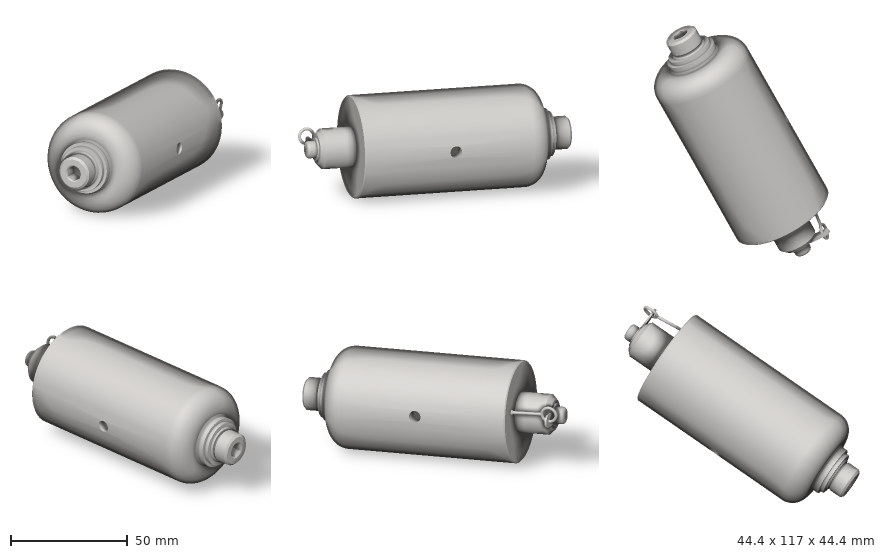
import cadquery as cq
import math

total_length = 117.0

body_radius = 22.2
body_front_y = 13.1
body_rear_y = 96.8
front_round = 7.8
rear_chamfer = 0.5

nipple_radius = 7.1
nipple_back_y = 6.2
nipple_tip_chamfer = 0.9
groove_radius = 6.4
groove_front_y = 6.9
groove_back_y = 7.3
groove_rim_radius = 7.5
flange_radius = 9.7
flange_front_y = 8.0
flange_rim_radius = 8.0
collar_radius = 11.1
collar_front_y = 9.7
collar_back_y = 12.3
collar_foot_radius = 11.9

socket_across_flats = 6.1
socket_depth = 7.0
socket_rim_radius = 3.6
drill_point_angle = 118.0
pilot_radius = 0.8
pilot_depth = 10.5

cap_radius = 8.8
cap_top_y = 112.2
cap_chamfer = 2.1
pin_radius = 3.7
pin_round = 1.4

tab_thickness = 0.8
tab_ring_radius = 5.1
tab_end_radius = 2.8
tab_end_x = 11.6

wire_radius = 0.64
pull_ring_radius = 3.2
pull_ring_x = tab_end_x
pull_ring_y = total_length - pull_ring_radius - wire_radius
pull_ring_z = 3.0
pull_ring_tilt = 10.0
cable_end_x = 13.0
anchor_radius = 1.2
anchor_height = 0.7
anchor_chamfer = 0.4

side_hole_radius = 2.6
side_hole_depth = 5.9
side_hole_y = 56.2


def cylinder_along_y(radius, x, y_start, y_end):
    """Cylinder parallel to Y at the height of the main axis."""
    return cq.Workplane("XZ", origin=(x, y_start, 0)).circle(radius).extrude(y_start - y_end)


def make_turned_body():
    """Nipple, collar, canister, cap and pin as one revolved half outline."""
    slant = math.sqrt(0.5)
    round_mid = (
        body_radius - front_round * (1 - slant),
        body_front_y + front_round * (1 - slant),
    )
    pin_mid = (
        pin_radius - pin_round * (1 - slant),
        total_length - pin_round * (1 - slant),
    )
    outline = (
        cq.Workplane("XY")
        .moveTo(0, 0)
        .lineTo(nipple_radius - nipple_tip_chamfer, 0)
        .lineTo(nipple_radius, nipple_tip_chamfer)
        .lineTo(nipple_radius, nipple_back_y)
        .lineTo(groove_radius, groove_front_y)
        .lineTo(groove_radius, groove_back_y)
        .lineTo(groove_rim_radius, groove_back_y)
        .lineTo(flange_rim_radius, flange_front_y)
        .lineTo(flange_radius, flange_front_y)
        .lineTo(flange_radius, collar_front_y)
        .lineTo(collar_radius, collar_front_y)
        .lineTo(collar_radius, collar_back_y)
        .lineTo(collar_foot_radius, body_front_y)
        .lineTo(body_radius - front_round, body_front_y)
        .threePointArc(round_mid, (body_radius, body_front_y + front_round))
        .lineTo(body_radius, body_rear_y - rear_chamfer)
        .lineTo(body_radius - rear_chamfer, body_rear_y)
        .lineTo(cap_radius, body_rear_y)
        .lineTo(cap_radius, cap_top_y - cap_chamfer)
        .lineTo(cap_radius - cap_chamfer, cap_top_y)
        .lineTo(pin_radius, cap_top_y)
        .lineTo(pin_radius, total_length - pin_round)
        .threePointArc(pin_mid, (pin_radius - pin_round, total_length))
        .lineTo(0, total_length)
        .close()
    )
    return outline.revolve(360, (0, 0, 0), (0, 1, 0))


def make_socket():
    """Hexagonal socket with a chamfered rim, a drill-point floor and a small pilot hole."""
    flat_radius = socket_across_flats / 2
    corner_diameter = socket_across_flats / math.cos(math.pi / 6)
    hexagon = (
        cq.Workplane("XZ")
        .polygon(6, corner_diameter)
        .extrude(-socket_depth)
        .rotate((0, 0, 0), (0, 1, 0), 30)
    )
    rim_depth = socket_rim_radius - flat_radius
    half_angle = math.radians(drill_point_angle / 2)
    cone_depth = (flat_radius - pilot_radius) / math.tan(half_angle)
    drilled = (
        cq.Workplane("XY")
        .lineTo(socket_rim_radius, 0)
        .lineTo(flat_radius, rim_depth)
        .lineTo(flat_radius, socket_depth)
        .lineTo(pilot_radius, socket_depth + cone_depth)
        .lineTo(pilot_radius, pilot_depth)
        .lineTo(0, pilot_depth)
        .close()
        .revolve(360, (0, 0, 0), (0, 1, 0))
    )
    return hexagon.union(drilled)


def make_side_hole(side):
    """Blind hole into the body from the -X side (side = -1) or the +X side (side = 1)."""
    floor_x = side * (body_radius - side_hole_depth)
    return (
        cq.Workplane("YZ", origin=(floor_x, side_hole_y, 0))
        .circle(side_hole_radius)
        .extrude(side * side_hole_depth)
    )


def make_tab():
    """Flat tab that circles the pin and reaches out to the pull ring."""
    tab_top_y = cap_top_y + tab_thickness
    ring = cylinder_along_y(tab_ring_radius, 0, cap_top_y, tab_top_y)
    end = cylinder_along_y(tab_end_radius, tab_end_x, cap_top_y, tab_top_y)
    strip = cq.Workplane("XY").box(
        tab_end_x, tab_thickness, 2 * tab_end_radius, centered=(False, False, True)
    )
    return ring.union(end).union(strip.translate((0, cap_top_y, 0)))


def make_pull_ring():
    """Wire ring through the tab end, leaning towards +X at the top."""
    lean = math.radians(pull_ring_tilt)
    ring_axis = cq.Vector(math.cos(lean), 0, -math.sin(lean))
    ring_centre = cq.Vector(pull_ring_x, pull_ring_y, pull_ring_z)
    return cq.Workplane(cq.Solid.makeTorus(pull_ring_radius, wire_radius, ring_centre, ring_axis))


def make_cable():
    """Straight cable from the pull ring down to a small anchor on the body."""
    start = cq.Vector(pull_ring_x, pull_ring_y - pull_ring_radius, pull_ring_z)
    end = cq.Vector(cable_end_x, body_rear_y, pull_ring_z)
    run = end - start
    cable = cq.Workplane(cq.Solid.makeCylinder(wire_radius, run.Length, start, run))
    anchor = cylinder_along_y(anchor_radius, cable_end_x, body_rear_y, body_rear_y + anchor_height)
    anchor = anchor.faces(">Y").chamfer(anchor_chamfer)
    return cable.union(anchor.translate((0, 0, pull_ring_z)))


result = make_turned_body().cut(make_socket())
for side in (-1, 1):
    result = result.cut(make_side_hole(side))
result = result.union(make_tab()).union(make_pull_ring()).union(make_cable())